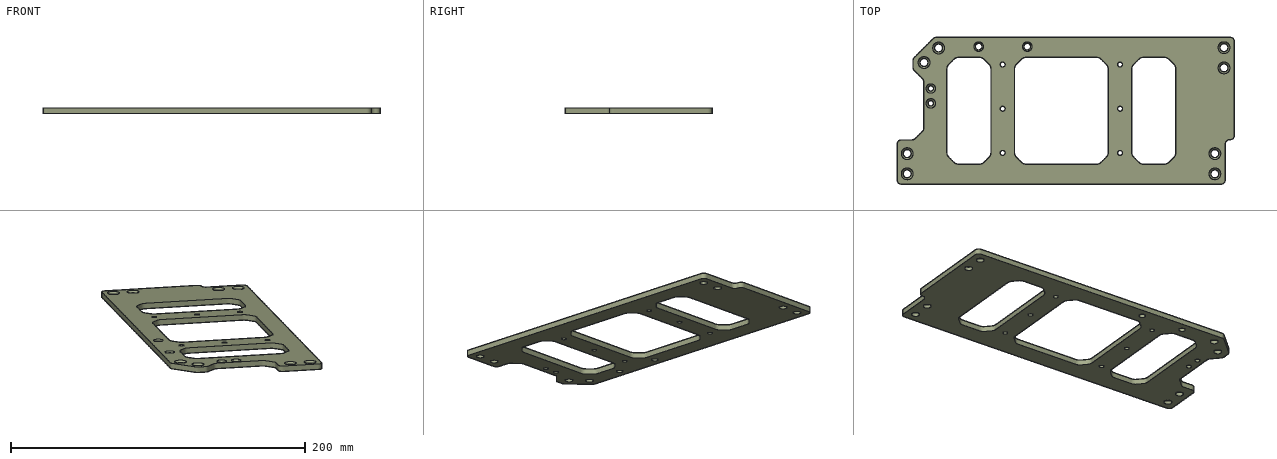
import cadquery as cq
length = 229.5
width = 100.0
thickness = 4.0
corner_radius = 3.0

tab_height = 30.3
tab_length = 11.5
recess_x = 18.1
recess_bottom = tab_height + (recess_x - tab_length)
ear_x = 10.8
ear_bottom = 78.3
ear_top = 85.5
recess_top = ear_bottom - (recess_x - ear_x)
ear_slope_end_x = ear_x + (width - ear_top)

step_setback = 6.2
step_x = length - step_setback

pattern_x = 111.8
window_bottom = 13.8
window_height = 72.5
window_chamfer = 6.0
window_radius = 4.4
center_window_width = 63.5
side_window_width = 29.8
side_window_offset = 63.0

web_hole_diameter = 3.2
web_hole_offset = 40.0
web_hole_pitch = 30.0
web_hole_center_y = 51.5

countersink_angle = 90.0
large_hole_diameter = 5.3
large_sink_diameter = 8.0
small_hole_diameter = 4.4
edge_hole_diameter = 3.5
small_sink_diameter = 6.5

large_hole_pitch = 13.8
large_hole_inset = 7.1
tab_hole_x = 7.0
ear_hole_x = 18.4
ear_hole_y = 83.0
ear_hole_step = 9.9
top_hole_inset = 6.5
top_hole_xs = (55.5, 88.6)
edge_hole_x = 23.0
edge_hole_ys = (55.0, 65.2)

large_holes = [(ear_hole_x + i * ear_hole_step, ear_hole_y + i * ear_hole_step) for i in range(2)]
for i in range(2):
    row_offset = large_hole_inset + i * large_hole_pitch
    large_holes.append((tab_hole_x, row_offset))
    large_holes.append((step_x - large_hole_inset, row_offset))
    large_holes.append((length - large_hole_inset, width - row_offset))
top_holes = [(x, width - top_hole_inset) for x in top_hole_xs]
edge_holes = [(edge_hole_x, y) for y in edge_hole_ys]
web_holes = [
    (pattern_x + side * web_hole_offset, web_hole_center_y + row * web_hole_pitch)
    for side in (-1, 1)
    for row in (-1, 0, 1)
]


def make_plate():
    """Flat plate with every outline corner rounded."""
    outline = [
        (0, 0),
        (step_x, 0),
        (step_x, tab_height),
        (length, tab_height),
        (length, width),
        (ear_slope_end_x, width),
        (ear_x, ear_top),
        (ear_x, ear_bottom),
        (recess_x, recess_top),
        (recess_x, recess_bottom),
        (tab_length, tab_height),
        (0, tab_height),
    ]
    plate = cq.Workplane("XY").polyline(outline).close().extrude(thickness)
    return plate.edges("|Z").fillet(corner_radius)


def make_window(center_x, window_width):
    """Cutter for a full-depth window with chamfered corners, each chamfer blended into the sides."""
    block = (
        cq.Workplane("XY")
        .center(center_x, window_bottom + window_height / 2)
        .rect(window_width, window_height)
        .extrude(thickness)
    )
    return block.edges("|Z").chamfer(window_chamfer).edges("|Z").fillet(window_radius)


def countersink(body, points, hole_diameter, sink_diameter):
    """Through holes countersunk from the top face."""
    top_face = body.faces(">Z").workplane(origin=(0, 0, thickness))
    return top_face.pushPoints(points).cskHole(hole_diameter, sink_diameter, countersink_angle)


result = make_plate()

result = result.cut(make_window(pattern_x, center_window_width))
for side in (-1, 1):
    result = result.cut(make_window(pattern_x + side * side_window_offset, side_window_width))

top_face = result.faces(">Z").workplane(origin=(0, 0, thickness))
result = top_face.pushPoints(web_holes).hole(web_hole_diameter)

result = countersink(result, large_holes, large_hole_diameter, large_sink_diameter)
result = countersink(result, top_holes, small_hole_diameter, small_sink_diameter)
result = countersink(result, edge_holes, edge_hole_diameter, small_sink_diameter)